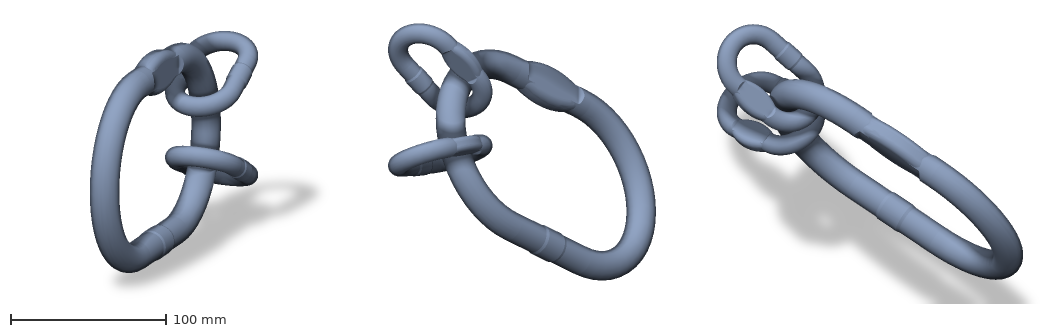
import cadquery as cq
import math

OVERALL_LENGTH = 235.0

MASTER = {
    "bar_diameter": 19.0,
    "inner_length": 160.0,
    "inner_width": 95.0,
    "sleeve_diameter": 20.2,
    "sleeve_length": 14.5,
    "sleeve_taper": 2.0,
    "flat_thickness": 13.9,
    "flat_length": 47.0,
    "flat_end_radius": 1.2,
    "swell_depth": 26.8,
    "swell_length": 42.3,
    "swell_corner_radius": 4.7,
}

SUB = {
    "bar_diameter": 13.0,
    "inner_length": 54.0,
    "inner_width": 25.1,
    "sleeve_diameter": 14.0,
    "sleeve_length": 10.3,
    "sleeve_taper": 1.5,
    "flat_thickness": 9.6,
    "flat_length": 26.3,
    "flat_end_radius": 1.0,
    "swell_depth": 18.3,
    "swell_length": 25.0,
    "swell_corner_radius": 3.3,
}
SUB_TILT = math.radians(25)
SUB_HEIGHT = 30.8

SWELL_SINK_ANGLE = 4.0


def straight_length(sizes):
    """Length of the straight legs between the two bends."""
    return sizes["inner_length"] - sizes["inner_width"]


def bend_radius(sizes):
    """Radius of the bar's centreline in the bends."""
    return (sizes["inner_width"] + sizes["bar_diameter"]) / 2


def half_centreline(sizes):
    """Distance from the link's centre to the bar's centreline at either end."""
    return (sizes["inner_length"] + sizes["bar_diameter"]) / 2




def bent_bar(sizes):
    """Round bar bent into a closed stadium."""
    leg_end = straight_length(sizes) / 2
    leg_y = bend_radius(sizes)
    end_x = half_centreline(sizes)
    path = (
        cq.Workplane("XY")
        .moveTo(0, leg_y)
        .lineTo(leg_end, leg_y)
        .threePointArc((end_x, 0), (leg_end, -leg_y))
        .lineTo(-leg_end, -leg_y)
        .threePointArc((-end_x, 0), (-leg_end, leg_y))
        .close()
    )
    return cq.Workplane("YZ").center(leg_y, 0).circle(sizes["bar_diameter"] / 2).sweep(path)


def weld_sleeve(sizes):
    """Slightly thicker collar with tapered ends around the middle of the -Y leg."""
    bar_radius = sizes["bar_diameter"] / 2
    sleeve_radius = sizes["sleeve_diameter"] / 2
    collar_end = sizes["sleeve_length"] / 2
    taper_end = collar_end + sizes["sleeve_taper"]
    profile = [
        (-taper_end, 0),
        (-taper_end, bar_radius),
        (-collar_end, sleeve_radius),
        (collar_end, sleeve_radius),
        (taper_end, bar_radius),
        (taper_end, 0),
    ]
    sleeve = cq.Workplane("XY").polyline(profile).close().revolve(360, (0, 0, 0), (1, 0, 0))
    return sleeve.translate((0, -bend_radius(sizes), 0))


def flat_cutter(sizes):
    """Pair of blocks with 45 degree ends that cut the +Y leg flat on its +Z and -Z sides."""
    floor = sizes["flat_thickness"] / 2
    reach = sizes["bar_diameter"] / 2
    floor_end = sizes["flat_length"] / 2
    profile = [
        (-floor_end, floor),
        (floor_end, floor),
        (floor_end + reach, floor + reach),
        (-floor_end - reach, floor + reach),
    ]
    upper = cq.Workplane("XZ").polyline(profile).close().extrude(reach, both=True)
    upper = upper.faces("<Z").edges("|Y").fillet(sizes["flat_end_radius"])
    upper = upper.translate((0, bend_radius(sizes), 0))
    return upper.union(upper.mirror("XY"))


def swelling(sizes):
    """Bulge with rounded corners that rises in an arc above the +Y side of a bar lying on the X axis."""
    bar_radius = sizes["bar_diameter"] / 2
    crest = sizes["swell_depth"] / 2
    side = sizes["flat_thickness"] / 2
    corner = sizes["swell_corner_radius"]

    rise = crest - bar_radius
    half_length = sizes["swell_length"] / 2
    arc_radius = (half_length**2 + rise**2) / (2 * rise)
    arc_centre = crest - arc_radius
    half_angle = math.degrees(math.asin(half_length / arc_radius)) + SWELL_SINK_ANGLE

    section = (
        cq.Workplane("YZ")
        .moveTo(0, -side)
        .lineTo(crest - corner, -side)
        .radiusArc((crest, -side + corner), -corner)
        .lineTo(crest, side - corner)
        .radiusArc((crest - corner, side), -corner)
        .lineTo(0, side)
        .close()
    )
    bulge = section.revolve(2 * half_angle, (arc_centre, 2.3, 0), (arc_centre, 0, 0))
    return bulge.rotate((0, arc_centre, 0), (0, arc_centre, 1), half_angle)


def chain_link(sizes, plane):
    """Complete link as one solid, placed with its length and thickness along the plane's X and normal."""
    link = bent_bar(sizes).cut(flat_cutter(sizes))
    outer_swelling = swelling(sizes)
    inner_swelling = outer_swelling.mirror("XZ")
    for bulge in (outer_swelling, inner_swelling):
        link = link.union(bulge.translate((0, bend_radius(sizes), 0)))
    link = link.union(weld_sleeve(sizes))
    return link.val().moved(cq.Location(plane))


master_link = chain_link(MASTER, cq.Plane((0, 0, 0), xDir=(0, 1, 0), normal=(1, 0, 0)))

master_end = half_centreline(MASTER) + MASTER["bar_diameter"] / 2
sub_end = half_centreline(SUB) * math.cos(SUB_TILT) + SUB["bar_diameter"] / 2
sub_y = OVERALL_LENGTH - master_end - sub_end

sub_links = []
for side in (1, -1):
    along = (0, math.cos(SUB_TILT), side * math.sin(SUB_TILT))
    normal = (0, -side * math.sin(SUB_TILT), math.cos(SUB_TILT))
    sub_plane = cq.Plane((0, sub_y, side * SUB_HEIGHT), xDir=along, normal=normal)
    sub_links.append(chain_link(SUB, sub_plane))

result = cq.Compound.makeCompound([master_link, *sub_links])